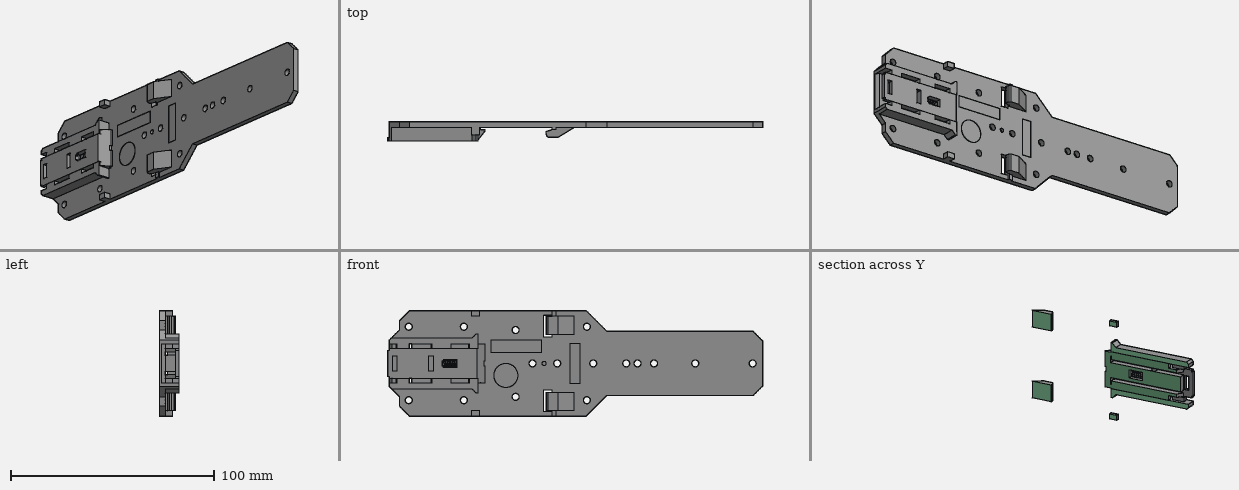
import cadquery as cq
import math


plate_left = 0.7
plate_right = 184.6
plate_thickness = 3.0
plate_half_width = 26.0
shoulder_left = 5.7
shoulder_chamfer = 5.0
left_end_half_width = 11.5
shoulder_bevel = shoulder_left - plate_left
neck_start = 97.7
neck_half_width = 15.9
neck_slope = plate_half_width - neck_half_width
end_chamfer = 4.8
lead_in_depth = 1.8
lead_in_length = 1.3

hole_diameter = 3.3
corner_holes_x = [10.3, 37.5, 98.0]
corner_holes_z = 18.1
middle_holes_x = 63.0
middle_holes_z = 16.5
centre_holes_x = [71.3, 83.5, 101.2, 117.5, 123.0, 131.1, 151.5, 179.7]
pilot_x = 77.0
pilot_diameter = 2.0
pilot_depth = 1.5
recess_depth = 0.2
label_left, label_right = 50.8, 75.7
label_bottom, label_top = 5.4, 11.5
bar_left, bar_right = 89.7, 94.7
bar_half_width = 9.8
disc_x, disc_z = 58.2, -6.0
disc_radius = 6.0

edge_feature_inner = 23.3
nub_left, nub_right = 41.2, 45.2
nub_depth = 6.5
hook_bottom, hook_top = 14.2, edge_feature_inner
hook_nose = 78.0
hook_root_left, hook_root_right = 80.9, 91.8
hook_face_end = 83.8
hook_depth = 7.8
hook_underside_depth = 4.8
hook_root_depth = 3.9
nose_bend_x, nose_bend_depth = 78.3, 7.0
nose_face_start = 79.0
nose_flat_depth = 6.0
hook_slot_left = 76.8
hook_slot_bottom, hook_slot_top = 13.1, 23.6
rib_right = 83.0

rail_depth = 9.6
rail_right = 44.5
rail_outer = 12.5
rail_inner = 9.6
lip_inner = 7.4
lip_rear_depth = 6.3
lip_left = 4.6
flare_start = 41.5
flare_height = 2.0
lip_windows = [(10.7, 21.8), (31.2, 40.3)]
lip_end_slope = 0.5
plate_slit_left, plate_slit_right = lip_windows[0][0], 11.8

deck_rear_depth = 7.8
deck_right = 44.0
grip_half_width = 6.5
block_left = 5.2
block_half_width = 4.0
side_wall_inner = 5.5
side_wall_slope = 3.7
wing_left = plate_slit_right
tab_left = rail_right
tab_heel = 45.8
tab_tip = 48.0
tab_gap_depth = 3.9
tab_tip_depth = 4.6
tab_bevel_slope = (rail_depth - tab_tip_depth) / (tab_tip - deck_right)
tab_root_depth = rail_depth - tab_bevel_slope * (tab_left - deck_right)
notch_half_width = 1.3
notch_length = 0.5
deck_slots = [(2.4, 4.6), (20.1, 22.5)]
deck_slot_half_width = 3.7
deck_slot_depth = 3.7

pocket_left, pocket_right = 26.8, 34.2
pocket_half_width = 2.0
pocket_corner = 1.1
chamber_front_depth = 8.5
spring_radius = 1.8
wire_radius = 0.4
coil_radius = spring_radius - wire_radius
coil_pitch = 1.1
coil_turns = 6
spring_axis_depth = chamber_front_depth - pocket_half_width
pocket_floor_depth = spring_axis_depth - pocket_half_width


def block(x_range, depth_range, z_range):
    """Box between two X values, two depths in front of the rear face and two Z values."""
    (x0, x1), (d0, d1), (z0, z1) = x_range, depth_range, z_range
    return cq.Workplane("XY").box(x1 - x0, d1 - d0, z1 - z0, centered=False).translate((x0, -d1, z0))


def front_prism(points, depth_range):
    """Prism with an (x, z) outline, filling a range of depths."""
    near, far = depth_range
    return cq.Workplane("XZ", origin=(0, -near, 0)).polyline(points).close().extrude(far - near)


def side_prism(points, z_range):
    """Prism with an (x, depth) outline, filling a range of Z."""
    z0, z1 = z_range
    outline = [(x, -depth) for x, depth in points]
    return cq.Workplane("XY", origin=(0, 0, z0)).polyline(outline).close().extrude(z1 - z0)


def both_sides(shape):
    """The shape together with its mirror image across Z = 0."""
    return shape.union(shape.mirror("XY"))


def drill(points, diameter, depth_range):
    """Cylinders along Y at the (x, z) points."""
    near, far = depth_range
    circles = cq.Workplane("XZ", origin=(0, -near, 0)).pushPoints(points).circle(diameter / 2)
    return circles.extrude(far - near)


def make_plate_blank():
    upper_edge = [
        (plate_left, left_end_half_width),
        (shoulder_left, left_end_half_width + shoulder_bevel),
        (shoulder_left, plate_half_width - shoulder_chamfer),
        (shoulder_left + shoulder_chamfer, plate_half_width),
        (neck_start, plate_half_width),
        (neck_start + neck_slope, neck_half_width),
        (plate_right - end_chamfer, neck_half_width),
        (plate_right, neck_half_width - end_chamfer),
    ]
    lower_edge = [(x, -z) for x, z in reversed(upper_edge)]
    blank = front_prism(upper_edge + lower_edge, (0, plate_thickness))
    lead_in = side_prism(
        [
            (plate_left, plate_thickness - lead_in_depth),
            (plate_left + lead_in_length, plate_thickness),
            (plate_left, plate_thickness),
        ],
        (-rail_inner, rail_inner),
    )
    return blank.cut(lead_in)


def make_plate_holes():
    points = [(x, side * corner_holes_z) for x in corner_holes_x for side in (1, -1)]
    points += [(middle_holes_x, side * middle_holes_z) for side in (1, -1)]
    points += [(x, 0) for x in centre_holes_x]
    through = drill(points, hole_diameter, (0, plate_thickness))
    pilot = drill([(pilot_x, 0)], pilot_diameter, (plate_thickness - pilot_depth, plate_thickness))
    return through.union(pilot)


def make_recesses():
    depths = (plate_thickness - recess_depth, plate_thickness)
    label = block((label_left, label_right), depths, (label_bottom, label_top))
    bar = block((bar_left, bar_right), depths, (-bar_half_width, bar_half_width))
    disc = drill([(disc_x, disc_z)], 2 * disc_radius, depths)
    return label.union(bar).union(disc)


def make_hook():
    profile = [
        (hook_root_left, plate_thickness),
        (hook_root_left, hook_root_depth),
        (hook_nose, hook_underside_depth),
        (hook_nose, nose_flat_depth),
        (nose_bend_x, nose_bend_depth),
        (nose_face_start, hook_depth),
        (hook_face_end, hook_depth),
        (hook_root_right, plate_thickness),
    ]
    hook = side_prism(profile, (hook_bottom, hook_top))
    rib = block(
        (hook_root_left, rib_right),
        (plate_thickness, hook_root_depth),
        (edge_feature_inner, plate_half_width),
    )
    return hook.union(rib)


def make_rail():
    flare_end = flare_start + flare_height
    wall_outline = [
        (plate_left, rail_inner),
        (plate_left, left_end_half_width),
        (plate_left + rail_outer - left_end_half_width, rail_outer),
        (flare_start, rail_outer),
        (flare_end, rail_outer + flare_height),
        (rail_right, rail_outer + flare_height),
        (rail_right, rail_inner),
    ]
    rail = front_prism(wall_outline, (plate_thickness, rail_depth))
    lip_z = (lip_inner, rail_inner)
    lip_profile = [
        (lip_left - lip_end_slope, lip_rear_depth),
        (rail_right, lip_rear_depth),
        (rail_right, rail_depth),
        (lip_left, rail_depth),
    ]
    rail = rail.union(side_prism(lip_profile, lip_z))
    for left, right in lip_windows:
        window_profile = [
            (left, lip_rear_depth),
            (right - lip_end_slope, lip_rear_depth),
            (right, rail_depth),
            (left, rail_depth),
        ]
        rail = rail.cut(side_prism(window_profile, lip_z))
    return rail


def make_plate():
    nub = block((nub_left, nub_right), (plate_thickness, nub_depth), (edge_feature_inner, plate_half_width))
    raised = make_rail().union(nub).union(make_hook())
    hook_slot = block(
        (hook_slot_left, hook_root_left), (0, plate_thickness), (hook_slot_bottom, hook_slot_top)
    )
    slit = block((plate_slit_left, plate_slit_right), (0, plate_thickness), (lip_inner, rail_inner))
    plate = make_plate_blank().union(both_sides(raised))
    plate = plate.cut(both_sides(hook_slot)).cut(both_sides(slit))
    return plate.cut(make_plate_holes()).cut(make_recesses())


def make_slider_side():
    """One side wall with an undercut left end, and the wing that runs behind the rail lip."""
    wall_profile = [
        (block_left + side_wall_slope, plate_thickness),
        (block_left, deck_rear_depth),
        (deck_right, deck_rear_depth),
        (tab_left, plate_thickness),
    ]
    wall = side_prism(wall_profile, (side_wall_inner, lip_inner))
    wing = block((wing_left, tab_left), (plate_thickness, lip_rear_depth), (lip_inner, rail_inner))
    return wall.union(wing)


def make_slider_tab():
    profile = [
        (tab_left, plate_thickness),
        (tab_heel, plate_thickness),
        (tab_heel, tab_gap_depth),
        (tab_tip, tab_gap_depth),
        (tab_tip, tab_tip_depth),
        (tab_left, tab_root_depth),
    ]
    tab = side_prism(profile, (-rail_inner, rail_inner))
    notch = block(
        (tab_tip - notch_length, tab_tip), (tab_gap_depth, rail_depth), (-notch_half_width, notch_half_width)
    )
    groove_z = (block_half_width, side_wall_inner)
    groove = block((tab_left, tab_heel), (plate_thickness, tab_gap_depth), groove_z)
    return tab.cut(notch).cut(both_sides(groove))


def make_spring_pocket():
    """Box-shaped chamber that opens at the front through a window with two cut corners."""
    outline = [
        (pocket_left, -pocket_half_width + pocket_corner),
        (pocket_left, pocket_half_width - pocket_corner),
        (pocket_left + pocket_corner, pocket_half_width),
        (pocket_right, pocket_half_width),
        (pocket_right, -pocket_half_width),
        (pocket_left + pocket_corner, -pocket_half_width),
    ]
    window = front_prism(outline, (chamber_front_depth, rail_depth))
    chamber = block(
        (pocket_left, pocket_right),
        (pocket_floor_depth, chamber_front_depth),
        (-pocket_half_width, pocket_half_width),
    )
    return window.union(chamber)


def make_slider():
    deck_profile = [
        (plate_left, deck_rear_depth),
        (tab_left, deck_rear_depth),
        (tab_left, tab_root_depth),
        (deck_right, rail_depth),
        (plate_left, rail_depth),
    ]
    deck = side_prism(deck_profile, (-lip_inner, lip_inner))
    grip = block((0, plate_left), (deck_rear_depth, rail_depth), (-grip_half_width, grip_half_width))
    core = block(
        (block_left, tab_left), (plate_thickness, deck_rear_depth), (-block_half_width, block_half_width)
    )
    slider = deck.union(grip).union(core).union(both_sides(make_slider_side())).union(make_slider_tab())
    for slot_x in deck_slots:
        slot_z = (-deck_slot_half_width, deck_slot_half_width)
        slider = slider.cut(block(slot_x, (rail_depth - deck_slot_depth, rail_depth), slot_z))
    return slider.cut(make_spring_pocket())


def make_spring():
    """Round-wire coil along X, centred in the slider's pocket."""
    coil_length = coil_pitch * coil_turns
    coil_start = (pocket_left + pocket_right - coil_length) / 2
    path = cq.Wire.makeHelix(coil_pitch, coil_length, coil_radius)
    lead_angle = math.degrees(math.atan2(coil_pitch, 2 * math.pi * coil_radius))
    section = cq.Workplane("XZ", origin=(coil_radius, 0, 0)).transformed(rotate=(lead_angle, 0, 0))
    coil = section.circle(wire_radius).sweep(cq.Workplane(path), isFrenet=True)
    coil = coil.rotate((0, 0, 0), (0, 1, 0), 90)
    return coil.translate((coil_start, -spring_axis_depth, 0))


plate = make_plate()
slider = make_slider()
spring = make_spring()

result = cq.Compound.makeCompound([plate.val(), slider.val(), spring.val()])